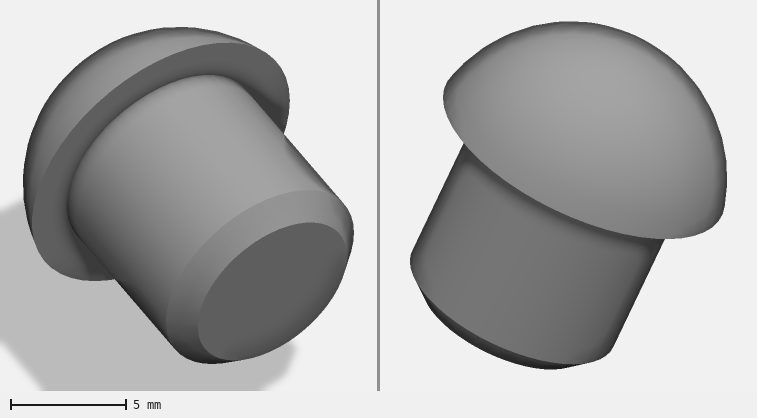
import cadquery as cq
import math

total_length = 14.3
head_diameter = 13.3
head_height = 5.3
shank_diameter = 9.7
chamfer_size = 1.0

head_radius = head_diameter / 2
shank_radius = shank_diameter / 2
dome_radius = (head_radius**2 + head_height**2) / (2 * head_height)

half_angle = math.atan2(head_radius, dome_radius - head_height) / 2
dome_middle = (
    dome_radius * (1 - math.cos(half_angle)),
    dome_radius * math.sin(half_angle),
)

profile = (
    cq.Workplane("XY")
    .moveTo(0, 0)
    .threePointArc(dome_middle, (head_height, head_radius))
    .lineTo(head_height, shank_radius)
    .lineTo(total_length - chamfer_size, shank_radius)
    .lineTo(total_length, shank_radius - chamfer_size)
    .lineTo(total_length, 0)
    .close()
)
result = profile.revolve(360, (0, 0, 0), (1, 0, 0))